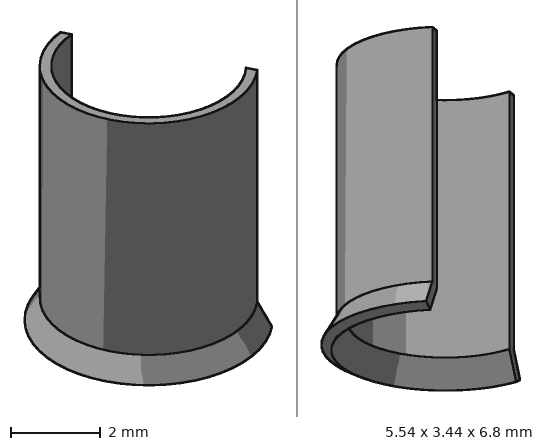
import cadquery as cq
import math

height = 6.8
tube_diameter = 4.86
rim_diameter = 5.54
wall = 0.26
flare_angle = math.radians(30)
open_side_y = 0.67

outer_radius = tube_diameter / 2
inner_radius = outer_radius - wall
rim_radius = rim_diameter / 2

rim_height = wall * math.sin(flare_angle)
lip_radius = rim_radius - wall * math.cos(flare_angle)
outer_bend_z = rim_height + (rim_radius - outer_radius) / math.tan(flare_angle)
inner_bend_z = (lip_radius - inner_radius) / math.tan(flare_angle)

wall_profile = [
    (inner_radius, inner_bend_z),
    (lip_radius, 0),
    (rim_radius, rim_height),
    (outer_radius, outer_bend_z),
    (outer_radius, height),
    (inner_radius, height),
]
tube = cq.Workplane("XZ").polyline(wall_profile).close().revolve(360, (0, 0), (0, 1))

removed_side = (
    cq.Workplane("XY")
    .box(rim_diameter, rim_diameter, height, centered=(True, False, False))
    .translate((0, open_side_y, 0))
)
result = tube.cut(removed_side)